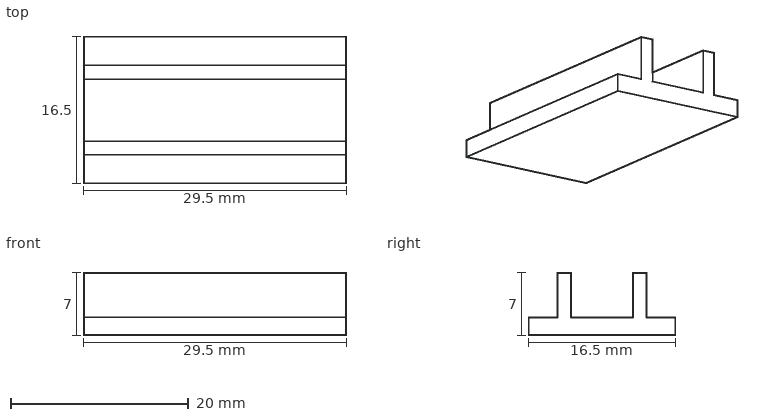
import cadquery as cq

length = 29.5
width = 16.5
total_height = 7.0
base_thickness = 2.0

rib_thickness = 1.53
rib_gap = 6.95
rib_height = total_height - base_thickness
rib_offset = (rib_gap + rib_thickness) / 2

base = cq.Workplane("XY").box(length, width, base_thickness, centered=(True, True, False))

ribs = (
    cq.Workplane("XY", origin=(0, 0, base_thickness))
    .pushPoints([(0, -rib_offset), (0, rib_offset)])
    .rect(length, rib_thickness)
    .extrude(rib_height)
)

result = base.union(ribs)